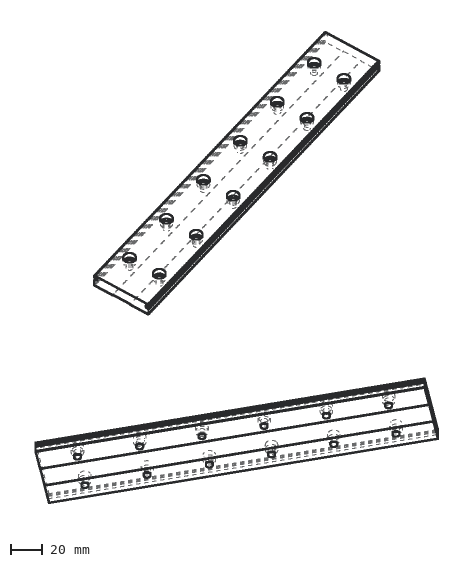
import cadquery as cq

RAIL_WIDTH = 42.0
RAIL_LENGTH = 250.0
RAIL_HEIGHT = 9.5

LIP_CHAMFER = 0.4
GROOVE_ROOF_DROP = 2.1
GROOVE_ARC_DEPTH = 1.3
GROOVE_BOTTOM_DEPTH = 2.2
GROOVE_AXIS_DROP = 3.0
GROOVE_MOUTH_DROP = 4.6

RELIEF_WIDTH = 13.5
RELIEF_DEPTH = 0.5

EDGE_CHAMFER = 0.4

HOLE_DIAMETER = 4.5
COUNTERBORE_DIAMETER = 8.0
COUNTERBORE_DEPTH = 4.5
ROW_SPACING = 23.0
HOLE_PITCH = 40.0
HOLES_PER_ROW = 6

HALF_WIDTH = RAIL_WIDTH / 2
TOP_Z = RAIL_HEIGHT / 2
BOTTOM_Z = -RAIL_HEIGHT / 2


def rail_blank():
    """Extrude the cross-section without its grooves along the rail length."""
    right_half = [
        (0, BOTTOM_Z + RELIEF_DEPTH),
        (RELIEF_WIDTH / 2, BOTTOM_Z + RELIEF_DEPTH),
        (RELIEF_WIDTH / 2, BOTTOM_Z),
        (HALF_WIDTH - EDGE_CHAMFER, BOTTOM_Z),
        (HALF_WIDTH, BOTTOM_Z + EDGE_CHAMFER),
        (HALF_WIDTH, TOP_Z - EDGE_CHAMFER),
        (HALF_WIDTH - EDGE_CHAMFER, TOP_Z),
        (0, TOP_Z),
    ]
    return (
        cq.Workplane("XZ")
        .polyline(right_half)
        .mirrorY()
        .extrude(RAIL_LENGTH / 2, both=True)
    )


def cut_ball_grooves(body):
    """Run one ball groove along the full length of each side face."""
    roof_z = TOP_Z - GROOVE_ROOF_DROP
    axis_z = TOP_Z - GROOVE_AXIS_DROP
    arc_x = HALF_WIDTH - GROOVE_ARC_DEPTH
    arc_end_z = 2 * axis_z - roof_z
    groove = (
        cq.Workplane("XZ")
        .moveTo(HALF_WIDTH, roof_z + LIP_CHAMFER)
        .lineTo(HALF_WIDTH - LIP_CHAMFER, roof_z)
        .lineTo(arc_x, roof_z)
        .threePointArc((HALF_WIDTH - GROOVE_BOTTOM_DEPTH, axis_z), (arc_x, arc_end_z))
        .lineTo(HALF_WIDTH, TOP_Z - GROOVE_MOUTH_DROP)
        .close()
        .extrude(RAIL_LENGTH / 2, both=True)
    )
    return body.cut(groove).cut(groove.mirror("YZ"))


def drill_mounting_holes(body):
    """Cut the two rows of counterbored holes down from the top face."""
    return (
        body.copyWorkplane(cq.Workplane("XY", origin=(0, 0, TOP_Z)))
        .rarray(ROW_SPACING, HOLE_PITCH, 2, HOLES_PER_ROW)
        .cboreHole(HOLE_DIAMETER, COUNTERBORE_DIAMETER, COUNTERBORE_DEPTH)
    )


result = drill_mounting_holes(cut_ball_grooves(rail_blank()))